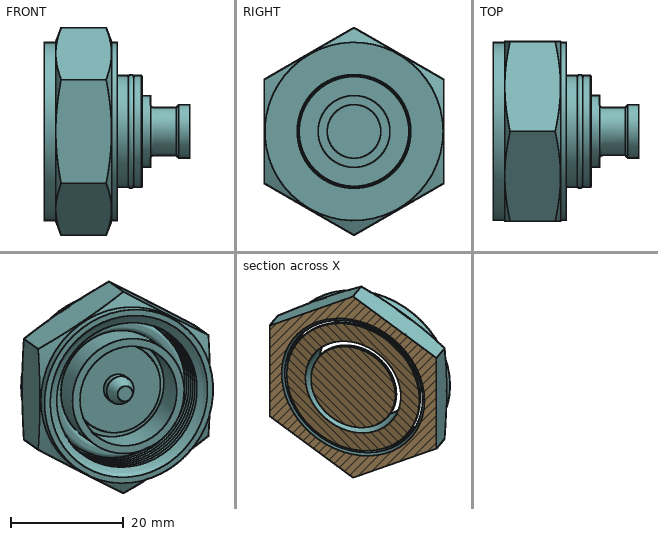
import cadquery as cq
import math


NUT_ACROSS_CORNERS = 36.9
NUT_LENGTH = 13.03
NUT_COLLAR_RADIUS = 15.83
HEX_FRONT = 2.03
HEX_BACK = 12.03
HEX_CHAMFER_LENGTH = 1.0
NUT_MOUTH_RADIUS = 14.75

THREAD_ROOT_RADIUS = 14.15
THREAD_CREST_RADIUS = 13.17
THREAD_FLANK_LENGTH = 0.55
THREAD_START = 0.55
THREAD_GROOVES = 6
FIRST_CREST = THREAD_START + THREAD_FLANK_LENGTH
LAST_CREST = FIRST_CREST + 2 * THREAD_GROOVES * THREAD_FLANK_LENGTH

TUBE_FRONT = 0.3
TUBE_BORE_RADIUS = 9.08
TUBE_RADIUS = 10.48
FLANGE_FRONT = LAST_CREST
FLANGE_BACK = 9.95
BODY_RADIUS = 9.95
BODY_BACK = 17.45
BODY_EDGE_CHAMFER = 0.22
STEP_RADIUS = 6.4
STEP_BACK = 18.93
NECK_RADIUS = 4.28
NECK_FILLET = 0.5
NECK_BACK = 23.45
TAIL_RADIUS = 4.75
TAIL_CHAMFER = TAIL_RADIUS - NECK_RADIUS
TAIL_BACK = 25.9

RING_CENTRE = 15.42
RING_WIRE_RADIUS = 0.5
RING_HEIGHT = 0.15
RING_RADIUS = BODY_RADIUS + RING_HEIGHT - RING_WIRE_RADIUS
RING_GROOVE_RADIUS = RING_RADIUS - RING_WIRE_RADIUS
RING_GROOVE_FRONT = RING_CENTRE - RING_WIRE_RADIUS
RING_GROOVE_BACK = RING_CENTRE + RING_WIRE_RADIUS

INSULATOR_RADIUS = 8.1
INSULATOR_FRONT = 6.42
INSULATOR_GAP_BACK = 7.38
PIN_TIP = 2.05
PIN_TIP_RADIUS = 1.4
PIN_CONE_BACK = 4.8
PIN_RADIUS = 2.55

BEAD_RADIUS = 12.73
BEAD_FRONT = 5.95
BEAD_ROUNDING = 0.8
BEAD_ROUNDING_BACK = BEAD_FRONT + BEAD_ROUNDING

ARC_MIDDLE = 1 - math.sqrt(0.5)


def turned(profile):
    """Revolve a profile drawn as (X, radius) about the X axis."""
    return profile.close().revolve(360, (0, 0, 0), (1, 0, 0))


def make_nut_blank():
    """Hexagon with both ends coned off, on a round collar."""
    corner_radius = NUT_ACROSS_CORNERS / 2
    hexagon = (
        cq.Workplane("YZ", origin=(HEX_FRONT, 0, 0))
        .polygon(6, NUT_ACROSS_CORNERS)
        .extrude(HEX_BACK - HEX_FRONT)
        .rotate((0, 0, 0), (1, 0, 0), 90)
    )
    cones = turned(
        cq.Workplane("XY")
        .moveTo(HEX_FRONT, 0)
        .lineTo(HEX_FRONT, NUT_COLLAR_RADIUS)
        .lineTo(HEX_FRONT + HEX_CHAMFER_LENGTH, corner_radius)
        .lineTo(HEX_BACK - HEX_CHAMFER_LENGTH, corner_radius)
        .lineTo(HEX_BACK, NUT_COLLAR_RADIUS)
        .lineTo(HEX_BACK, 0)
    )
    collar = cq.Workplane("YZ").circle(NUT_COLLAR_RADIUS).extrude(NUT_LENGTH)
    return hexagon.intersect(cones).union(collar)


def make_nut_bore():
    """Threaded mouth, smooth seat for the flange, and the smaller hole through the back wall."""
    crest = FIRST_CREST
    profile = (
        cq.Workplane("XY")
        .lineTo(0, NUT_MOUTH_RADIUS)
        .lineTo(THREAD_START, THREAD_ROOT_RADIUS)
        .lineTo(FIRST_CREST, THREAD_CREST_RADIUS)
    )
    for _ in range(THREAD_GROOVES):
        root = crest + THREAD_FLANK_LENGTH
        crest = root + THREAD_FLANK_LENGTH
        profile = profile.lineTo(root, THREAD_ROOT_RADIUS).lineTo(crest, THREAD_CREST_RADIUS)
    return turned(
        profile.lineTo(FLANGE_BACK, THREAD_CREST_RADIUS)
        .lineTo(FLANGE_BACK, BODY_RADIUS)
        .lineTo(NUT_LENGTH, BODY_RADIUS)
        .lineTo(NUT_LENGTH, 0)
    )


def make_housing():
    """Contact tube, flange with sealing bead, grooved and stepped rear end, insulator face and centre pin."""
    fillet_arc_reach = NECK_FILLET * ARC_MIDDLE
    bead_arc_reach = BEAD_ROUNDING * ARC_MIDDLE
    return turned(
        cq.Workplane("XY")
        .moveTo(PIN_TIP, 0)
        .lineTo(PIN_TIP, PIN_TIP_RADIUS)
        .lineTo(PIN_CONE_BACK, PIN_RADIUS)
        .lineTo(INSULATOR_FRONT, PIN_RADIUS)
        .lineTo(INSULATOR_FRONT, INSULATOR_RADIUS)
        .lineTo(INSULATOR_GAP_BACK, INSULATOR_RADIUS)
        .lineTo(INSULATOR_GAP_BACK, TUBE_BORE_RADIUS)
        .lineTo(TUBE_FRONT, TUBE_BORE_RADIUS)
        .lineTo(TUBE_FRONT, TUBE_RADIUS)
        .lineTo(BEAD_ROUNDING_BACK, TUBE_RADIUS)
        .threePointArc(
            (BEAD_FRONT + bead_arc_reach, TUBE_RADIUS + bead_arc_reach),
            (BEAD_FRONT, TUBE_RADIUS + BEAD_ROUNDING),
        )
        .lineTo(BEAD_FRONT, BEAD_RADIUS - BEAD_ROUNDING)
        .threePointArc(
            (BEAD_FRONT + bead_arc_reach, BEAD_RADIUS - bead_arc_reach),
            (BEAD_ROUNDING_BACK, BEAD_RADIUS),
        )
        .lineTo(FLANGE_FRONT, BEAD_RADIUS)
        .lineTo(FLANGE_FRONT, THREAD_CREST_RADIUS)
        .lineTo(FLANGE_BACK, THREAD_CREST_RADIUS)
        .lineTo(FLANGE_BACK, BODY_RADIUS)
        .lineTo(RING_GROOVE_FRONT, BODY_RADIUS)
        .lineTo(RING_GROOVE_FRONT, RING_GROOVE_RADIUS)
        .lineTo(RING_GROOVE_BACK, RING_GROOVE_RADIUS)
        .lineTo(RING_GROOVE_BACK, BODY_RADIUS)
        .lineTo(BODY_BACK - BODY_EDGE_CHAMFER, BODY_RADIUS)
        .lineTo(BODY_BACK, BODY_RADIUS - BODY_EDGE_CHAMFER)
        .lineTo(BODY_BACK, STEP_RADIUS)
        .lineTo(STEP_BACK, STEP_RADIUS)
        .lineTo(STEP_BACK, NECK_RADIUS + NECK_FILLET)
        .threePointArc(
            (STEP_BACK + fillet_arc_reach, NECK_RADIUS + fillet_arc_reach),
            (STEP_BACK + NECK_FILLET, NECK_RADIUS),
        )
        .lineTo(NECK_BACK, NECK_RADIUS)
        .lineTo(NECK_BACK + TAIL_CHAMFER, TAIL_RADIUS)
        .lineTo(TAIL_BACK, TAIL_RADIUS)
        .lineTo(TAIL_BACK, 0)
    )


def make_ring():
    """Full torus of round wire."""
    return cq.Workplane(cq.Solid.makeTorus(RING_RADIUS, RING_WIRE_RADIUS, (RING_CENTRE, 0, 0), (1, 0, 0)))


nut = make_nut_blank().cut(make_nut_bore())
housing = make_housing()
ring = make_ring()

result = cq.Compound.makeCompound([nut.val(), housing.val(), ring.val()])